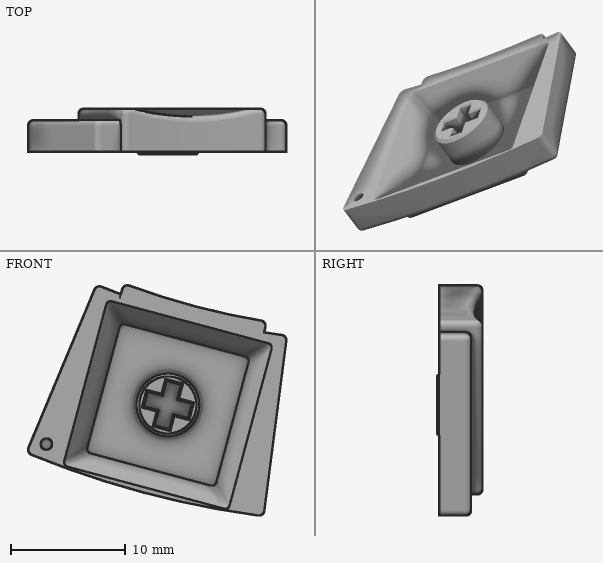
import cadquery as cq
import math

TILT = 15.0

RING_CENTER = (-0.13, 73.0)
SIDE_ANGLE = 7.64
SKIRT_INNER_RADIUS = 65.0
SKIRT_OUTER_RADIUS = 80.97
SKIRT_HEIGHT = 2.8

TOP_HEIGHT = 3.8
TOP_HALF_WIDTH = 6.5
TOP_BOTTOM_Z = -6.5
TOP_INNER_RADIUS = 64.03

EDGE_RADIUS = 0.5

DISH_RADIUS = 22.0
DISH_DEPTH = 0.7
DISH_TO_UPPER_EDGE = 1.0
DISH_Z = RING_CENTER[1] - TOP_INNER_RADIUS - DISH_TO_UPPER_EDGE

POCKET_SIZE = 15.0
POCKET_FLOOR_SIZE = 11.7
POCKET_DEPTH = 2.7
POCKET_CORNER_RADIUS = 0.5

STEM_DIAMETER = 5.5
STEM_PROTRUSION = 0.2
STEM_CHAMFER = 0.25
PAD_HEIGHT = 0.2
CROSS_LENGTH = 4.0
CROSS_WIDTH = 1.3
CROSS_CHAMFER = 0.15

MARK_CENTER = (-9.39, -6.06)
MARK_DIAMETER = 1.0
MARK_DEPTH = 0.5


def face_plane(y=0.0):
    """Sketch plane at height y; positive extrusion runs towards -Y."""
    return cq.Workplane("XZ", origin=(0, y, 0))


def ring_point(radius, angle):
    """Point of the ring at an angle from straight below its centre."""
    a = math.radians(angle)
    return (RING_CENTER[0] + radius * math.sin(a), RING_CENTER[1] - radius * math.cos(a))


def make_skirt():
    skirt = (
        face_plane()
        .moveTo(*ring_point(SKIRT_INNER_RADIUS, -SIDE_ANGLE))
        .threePointArc(ring_point(SKIRT_INNER_RADIUS, 0), ring_point(SKIRT_INNER_RADIUS, SIDE_ANGLE))
        .lineTo(*ring_point(SKIRT_OUTER_RADIUS, SIDE_ANGLE))
        .threePointArc(ring_point(SKIRT_OUTER_RADIUS, 0), ring_point(SKIRT_OUTER_RADIUS, -SIDE_ANGLE))
        .close()
        .extrude(-SKIRT_HEIGHT)
    )
    return skirt.edges("|Y").fillet(EDGE_RADIUS).faces(">Y").edges().fillet(EDGE_RADIUS)


def top_arc_point(x):
    """Point of the key top's upper edge at a given X."""
    angle = math.degrees(math.asin((x - RING_CENTER[0]) / TOP_INNER_RADIUS))
    return ring_point(TOP_INNER_RADIUS, angle)


def is_dish_rim(edge):
    """True for the round edge where the dish runs out on the flat top."""
    return edge.geomType() == "CIRCLE" and EDGE_RADIUS < edge.radius() < TOP_HALF_WIDTH


def round_upper_edges(key_top):
    """Round the upper edges of the walls, leaving the rim of the dish sharp."""
    upper_edges = [
        edge
        for edge in key_top.edges("not |Y").vals()
        if edge.Center().y > SKIRT_HEIGHT and not is_dish_rim(edge)
    ]
    return key_top.newObject(upper_edges).fillet(EDGE_RADIUS)


def make_key_top():
    key_top = (
        face_plane()
        .moveTo(-TOP_HALF_WIDTH, TOP_BOTTOM_Z)
        .lineTo(*top_arc_point(-TOP_HALF_WIDTH))
        .threePointArc(top_arc_point(0), top_arc_point(TOP_HALF_WIDTH))
        .lineTo(TOP_HALF_WIDTH, TOP_BOTTOM_Z)
        .close()
        .extrude(-TOP_HEIGHT)
        .edges("|Y")
        .fillet(EDGE_RADIUS)
    )
    dish = cq.Workplane("XY").sphere(DISH_RADIUS).translate(
        (0, TOP_HEIGHT + DISH_RADIUS - DISH_DEPTH, DISH_Z)
    )
    return round_upper_edges(key_top.cut(dish))


def make_pocket():
    taper = math.degrees(math.atan((POCKET_SIZE - POCKET_FLOOR_SIZE) / 2 / POCKET_DEPTH))
    return (
        cq.Workplane(cq.Plane(origin=(0, 0, 0), xDir=(1, 0, 0), normal=(0, 1, 0)))
        .rect(POCKET_SIZE, POCKET_SIZE)
        .extrude(POCKET_DEPTH, taper=taper)
        .edges("not (|X or |Z)")
        .fillet(POCKET_CORNER_RADIUS)
    )


def make_cap():
    cap = make_skirt().union(make_key_top()).cut(make_pocket())
    pad = face_plane(POCKET_DEPTH).circle(STEM_DIAMETER / 2).extrude(PAD_HEIGHT)
    mark = face_plane().center(*MARK_CENTER).circle(MARK_DIAMETER / 2).extrude(-MARK_DEPTH)
    return cap.union(pad).cut(mark)


def make_stem():
    foot = POCKET_DEPTH - PAD_HEIGHT
    length = foot + STEM_PROTRUSION
    stem = face_plane(foot).circle(STEM_DIAMETER / 2).extrude(length)
    stem = stem.faces("<Y").chamfer(STEM_CHAMFER)
    upright_arm = face_plane(foot).rect(CROSS_WIDTH, CROSS_LENGTH).extrude(length)
    level_arm = face_plane(foot).rect(CROSS_LENGTH, CROSS_WIDTH).extrude(length)
    stem = stem.cut(upright_arm.union(level_arm))
    return stem.faces("<Y").edges("|X or |Z").chamfer(CROSS_CHAMFER)


def tilt(body):
    return body.rotate((0, 0, 0), (0, 1, 0), TILT)


cap = tilt(make_cap())
stem = tilt(make_stem())

result = cq.Compound.makeCompound([cap.val(), stem.val()])